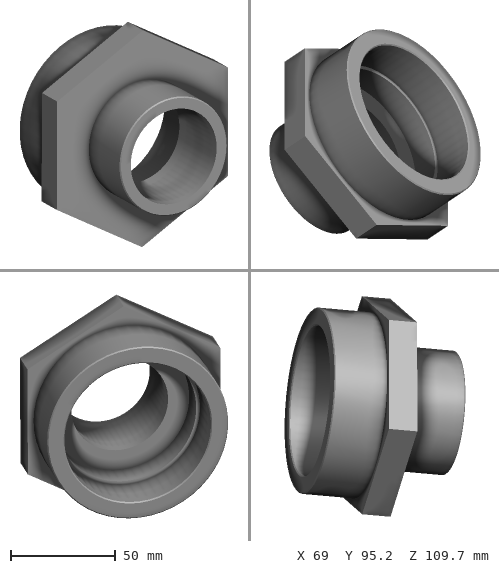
import cadquery as cq

total_length = 69.0
socket_length = 26.0
hex_thickness = 14.0

hex_across_corners = 109.7
hex_turn = -0.23

socket_diameter = 89.2
spigot_diameter = 59.6

mouth_diameter = 72.2
mouth_depth = 21.2
seat_diameter = 68.6
seat_depth = 34.5
through_diameter = 47.7

edge_break = 0.5


def cylinder(diameter, start, length):
    """Cylinder along +X from the given start position."""
    return cq.Workplane("YZ", origin=(start, 0, 0)).circle(diameter / 2).extrude(length)


def hex_flange():
    """Hexagon with corners near the +Z and -Z directions."""
    flange = (
        cq.Workplane("YZ", origin=(socket_length, 0, 0))
        .polygon(6, hex_across_corners)
        .extrude(hex_thickness)
    )
    return flange.rotate((0, 0, 0), (1, 0, 0), 90 + hex_turn)


def socket():
    """Large end, with its mouth edges chamfered inside and outside."""
    body = cylinder(socket_diameter, 0, socket_length)
    body = body.cut(cylinder(mouth_diameter, 0, mouth_depth))
    return body.faces("<X").edges().chamfer(edge_break)


def spigot():
    """Small end, with its outer edge chamfered."""
    start = socket_length + hex_thickness
    body = cylinder(spigot_diameter, start, total_length - start)
    return body.faces(">X").edges().chamfer(edge_break)


def bore():
    """Seat and through hole behind the wider mouth."""
    return cylinder(seat_diameter, 0, seat_depth).union(cylinder(through_diameter, 0, total_length))


result = socket().union(hex_flange()).union(spigot()).cut(bore())